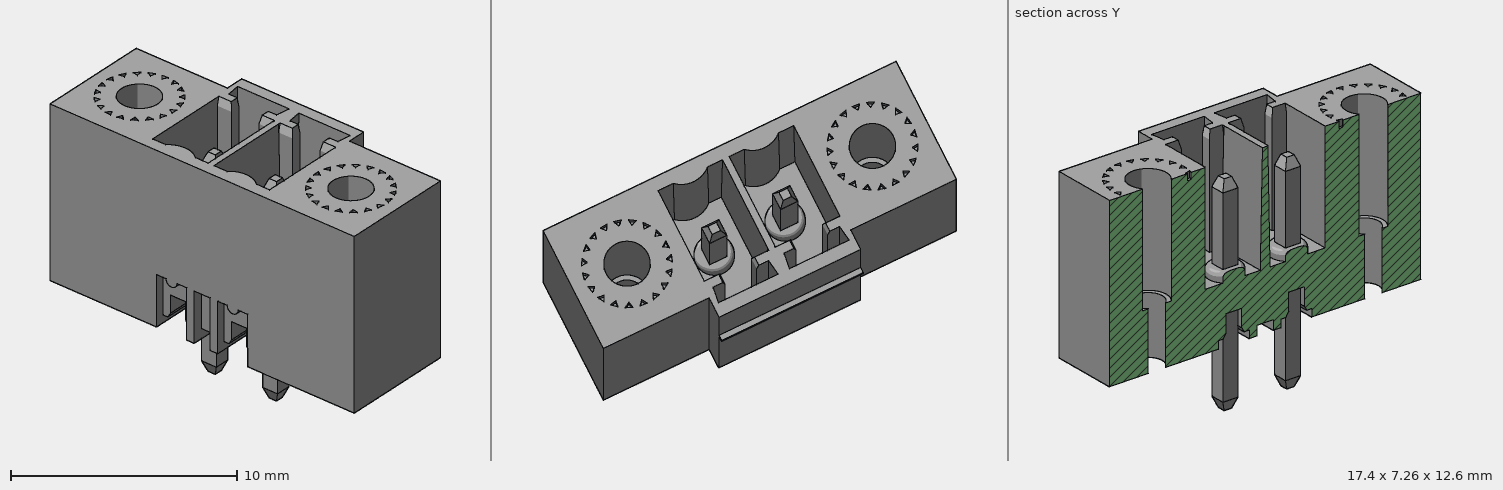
import cadquery as cq


width = 17.4
flange_depth = 6.0
housing_height = 9.2
pole_pitch = 3.5
center_width = 6.98
center_back_step = 1.0
back_edge_radius = 0.25
front_y = -flange_depth / 2
center_back_y = flange_depth / 2 + center_back_step

ridge_depth = 0.26
ridge_top_drop = 3.2
ridge_tip_height = 0.2
ridge_height = 0.38

flange_hole_spacing = 12.1
flange_hole_diameter = 1.6
flange_bore_diameter = 2.05
flange_bore_depth = 6.0
serration_count = 19
serration_outer_radius = 2.0
serration_length = 0.25
serration_width = 0.35
serration_depth = 0.35

pocket_depth = 6.0
floor_z = housing_height - pocket_depth
outer_wall = 0.148
divider_half_width = 0.165
front_wall = 0.63
back_wall = 0.61
wall_draft = 0.12
back_draft = 0.05
bump_width = 1.69
bump_rise = 0.33

rib_front_y = 2.12
rib_back_y = 2.65
neck_width = 1.57
channel_front_width = 2.73
channel_back_width = 2.94
lead_in = 0.1
lead_in_depth = 0.45

pin_width = 0.85
pin_depth = 0.8
pin_tip_size = 0.42
pin_taper = 0.55
pin_below = 3.4
pin_top_drop = 1.17
collar_diameter = 1.8
collar_height = 0.5
collar_radius = 0.26

window_width = 1.7
window_height = 2.73
window_recess = 0.45
window_tab_radius = 0.31
underside_back_y = 1.0
underside_height = 0.42
slot_height = 1.62
flare_spread = 0.15
flare_height = 0.26
center_slot_width = 0.9
center_slot_recess = 0.52
center_underside_height = 0.52


def block(x_min, x_max, y_min, y_max, z_min, z_max):
    """Box given by its limits along each axis."""
    size = (x_max - x_min, y_max - y_min, z_max - z_min)
    return cq.Workplane("XY").box(*size, centered=False).translate((x_min, y_min, z_min))


def ruled_between(lower, upper, z_lower, z_upper):
    """Straight-sided solid between two outlines drawn at Z = 0."""
    wires = [
        lower.translate((0, 0, z_lower)).val(),
        upper.translate((0, 0, z_upper)).val(),
    ]
    return cq.Workplane(cq.Solid.makeLoft(wires, True))


def rectangle(x_min, x_max, y_min, y_max):
    """Rectangular outline given by its limits."""
    corners = [(x_min, y_min), (x_max, y_min), (x_max, y_max), (x_min, y_max)]
    return cq.Workplane("XY").polyline(corners).close()


def centered_rectangle(x_size, y_size):
    """Rectangular outline around the Z axis."""
    return rectangle(-x_size / 2, x_size / 2, -y_size / 2, y_size / 2)


def housing():
    """Flanged body with the deeper center block and its latch ridge."""
    half_width = width / 2
    half_center = center_width / 2
    flanges = block(-half_width, half_width, front_y, -front_y, 0, housing_height)
    center = block(-half_center, half_center, 0, center_back_y, 0, housing_height)
    center = center.edges(">Y and <Z").fillet(back_edge_radius)

    ridge_top = housing_height - ridge_top_drop
    ridge_profile = [
        (center_back_y - back_wall / 2, ridge_top),
        (center_back_y + ridge_depth, ridge_top),
        (center_back_y + ridge_depth, ridge_top - ridge_tip_height),
        (center_back_y, ridge_top - ridge_height),
        (center_back_y - back_wall / 2, ridge_top - ridge_height),
    ]
    ridge = cq.Workplane("YZ").polyline(ridge_profile).close().extrude(half_center, both=True)
    return flanges.union(center).union(ridge)


def flange_cutter():
    """Stepped hole and serration pits around the Z axis; one pit points along +X."""
    hole = cq.Workplane("XY").circle(flange_hole_diameter / 2).extrude(housing_height)
    bore_floor = housing_height - flange_bore_depth
    bore = cq.Workplane("XY").workplane(offset=bore_floor)
    cutter = hole.union(bore.circle(flange_bore_diameter / 2).extrude(flange_bore_depth))

    pit_outline = [
        (serration_outer_radius - serration_length, 0),
        (serration_outer_radius, -serration_width / 2),
        (serration_outer_radius, serration_width / 2),
    ]
    pit_plane = cq.Workplane("XY").workplane(offset=housing_height - serration_depth)
    pit = pit_plane.polyline(pit_outline).close().extrude(serration_depth)
    for index in range(serration_count):
        angle = index * 360 / serration_count
        cutter = cutter.add(pit.rotate((0, 0, 0), (0, 0, 1), angle))
    return cutter.combine()


def chamber_outline(inset):
    """Main pocket outline around the pole axis, its drafted walls moved inward by inset."""
    outer_x = -(center_width - pole_pitch) / 2 + outer_wall
    divider_x = pole_pitch / 2 - divider_half_width - inset
    wall_y = front_y + front_wall + inset
    return (
        cq.Workplane("XY")
        .moveTo(outer_x, rib_front_y)
        .lineTo(outer_x, wall_y)
        .lineTo(-bump_width / 2, wall_y)
        .threePointArc((0, wall_y + bump_rise), (bump_width / 2, wall_y))
        .lineTo(divider_x, wall_y)
        .lineTo(divider_x, rib_front_y)
        .close()
    )


def channel_outline(inset):
    """Back channel outline, flaring toward a back wall moved inward by inset."""
    back_y = center_back_y - back_wall - inset
    corners = [
        (-channel_front_width / 2, rib_back_y),
        (channel_front_width / 2, rib_back_y),
        (channel_back_width / 2, back_y),
        (-channel_back_width / 2, back_y),
    ]
    return cq.Workplane("XY").polyline(corners).close()


def pocket_cutter():
    """Plug pocket of the left pole, around the pole axis."""
    top = housing_height
    chamber = ruled_between(chamber_outline(wall_draft), chamber_outline(0), floor_z, top)
    channel = ruled_between(channel_outline(back_draft), channel_outline(0), floor_z, top)
    neck = block(-neck_width / 2, neck_width / 2, 0, rib_back_y, floor_z, top)

    outer_x = -(center_width - pole_pitch) / 2 + outer_wall
    divider_x = pole_pitch / 2 - divider_half_width
    lead_in_bottom = top - lead_in_depth
    rib_slope_profile = [
        (rib_front_y, lead_in_bottom),
        (rib_front_y + lead_in, top),
        (rib_front_y, top),
    ]
    rib_slope = (
        cq.Workplane("YZ", origin=(outer_x, 0, 0))
        .polyline(rib_slope_profile)
        .close()
        .extrude(divider_x - outer_x)
    )
    neck_half = neck_width / 2
    neck_slope = ruled_between(
        rectangle(-neck_half, neck_half, 0, rib_back_y),
        rectangle(-neck_half - lead_in, neck_half + lead_in, 0, rib_back_y),
        lead_in_bottom,
        top,
    )
    return chamber.union(channel).union(neck).union(rib_slope).union(neck_slope)


def window_cutter():
    """Opening at the foot of one pole, with a pin slot that flares at its lower edge."""
    half_window = window_width / 2
    recess_y = front_y + window_recess
    window = block(-half_window, half_window, front_y, recess_y, 0, window_height)
    tab = (
        cq.Workplane("XZ", origin=(0, front_y, window_height))
        .circle(window_tab_radius)
        .extrude(-window_recess)
    )
    window = window.cut(tab)

    underside = block(-half_window, half_window, front_y, underside_back_y, 0, underside_height)
    half_pin = pin_width / 2
    slot = block(-half_pin, half_pin, recess_y, 0, underside_height, slot_height)
    half_flare = half_pin + flare_spread
    flare_back_y = pin_depth / 2
    flare = ruled_between(
        rectangle(-half_flare, half_flare, recess_y, flare_back_y + flare_spread),
        rectangle(-half_pin, half_pin, recess_y, flare_back_y),
        underside_height,
        underside_height + flare_height,
    )
    return window.union(underside).union(slot).union(flare)


def center_slot_cutter():
    """Plain slot between the two windows, running deeper along the underside."""
    half_slot = center_slot_width / 2
    recess_y = front_y + center_slot_recess
    slot = block(-half_slot, half_slot, front_y, recess_y, 0, window_height)
    return slot.union(
        block(-half_slot, half_slot, front_y, underside_back_y, 0, center_underside_height)
    )


def contact():
    """Square pin with tapered ends and a rounded collar on the pocket floor."""
    pin_top = housing_height - pin_top_drop
    shaft_outline = centered_rectangle(pin_width, pin_depth)
    tip_outline = centered_rectangle(pin_tip_size, pin_tip_size)
    lower_shoulder = -pin_below + pin_taper
    upper_shoulder = pin_top - pin_taper
    shaft = ruled_between(shaft_outline, shaft_outline, lower_shoulder, upper_shoulder)
    lower_tip = ruled_between(tip_outline, shaft_outline, -pin_below, lower_shoulder)
    upper_tip = ruled_between(shaft_outline, tip_outline, upper_shoulder, pin_top)
    collar = (
        cq.Workplane("XY", origin=(0, 0, floor_z))
        .circle(collar_diameter / 2)
        .extrude(collar_height)
        .faces(">Z")
        .edges()
        .fillet(collar_radius)
    )
    return shaft.union(lower_tip).union(upper_tip).union(collar)


def both_sides(shape, offset):
    """The shape moved left by offset, together with its mirror image on the right."""
    left = shape.translate((-offset, 0, 0))
    return [left, left.mirror("YZ")]


body = housing().cut(center_slot_cutter())
for cutter, offset in (
    (flange_cutter(), flange_hole_spacing / 2),
    (pocket_cutter(), pole_pitch / 2),
    (window_cutter(), pole_pitch / 2),
):
    for tool in both_sides(cutter, offset):
        body = body.cut(tool)

for pin in both_sides(contact(), pole_pitch / 2):
    body = body.union(pin)

result = body